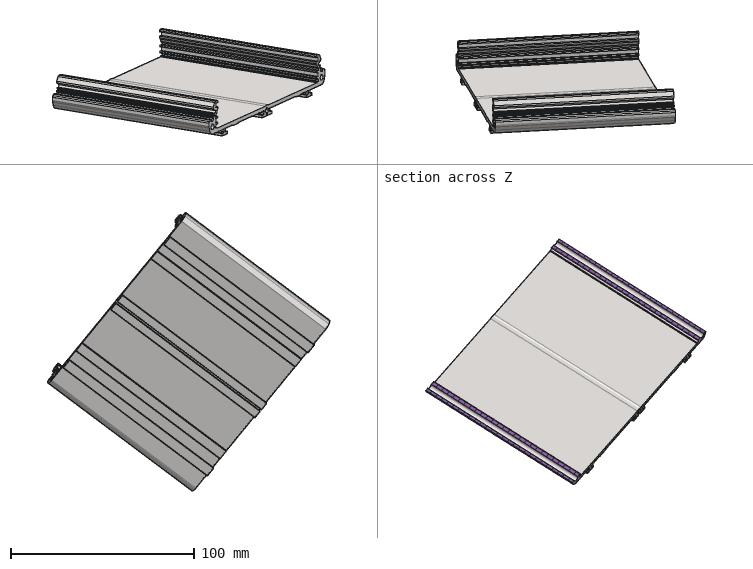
import cadquery as cq

LENGTH = 100.0
WIDTH = 122.6
HALF_WIDTH = WIDTH / 2
HEIGHT = 21.5

FLOOR_BOTTOM = 3.5
FLOOR_THICKNESS = 2.3
FLOOR_TOP = FLOOR_BOTTOM + FLOOR_THICKNESS
FLOOR_HALF_WIDTH = 57.6

WALL_Y = 53.8
TIP_Y = 51.8
RELIEF_Y = 54.5

SCREW_Y = 57.6
SCREW_Z = 7.7
SCREW_DIAMETER = 3.0
BOSS_TOP = 12.1
BOSS_INNER_Y = 58.5
VALLEY_Z = 10.9
VALLEY_Y = 57.6

RIB_THICKNESS = 1.0
RIB_POINT = 0.7
UPPER_RIB_Z = 12.0
LOWER_RIB_Z = 8.6
LOWER_RIB_ROOT_Y = 53.3
LOWER_RELIEF_TOP = 7.0

STEP_HEIGHT = 0.4
STEP_Y = 53.1

LIP_OUTER_Y = 56.8
LIP_CHAMFER = 0.6
GROOVE_BOTTOM = 17.7
GROOVE_TOP = 20.2
LIP_UNDERSIDE = 16.8

RAIL_Y = 44.6
RAIL_HEAD_WIDTH = 5.6
RAIL_HEAD_HEIGHT = 1.4
RAIL_NECK_WIDTH = 1.7
RAIL_FLARE = 0.6

PAD_INNER = 30.3
PAD_OUTER = 36.3
PAD_DEPTH = 0.4

CENTRE_HEAD_WIDTH = 10.4
CENTRE_NECK_WIDTH = 6.0
SNAP_RADIUS = 1.6
SNAP_Z = 2.8
SLOT_WIDTH = 1.2
SLOT_TOP = 1.6

RIDGE_WIDTH = 3.2
RIDGE_HEIGHT = 0.3


def section(y, z):
    """Start a cross-section at (y, z) in the YZ plane at the -X end of the part."""
    return cq.Workplane("YZ", origin=(-LENGTH / 2, 0, 0)).moveTo(y, z)


def extrude(outline):
    """Close a cross-section and run it along the whole length."""
    return outline.close().extrude(LENGTH)


def bar(y_min, y_max, z_min, z_max):
    """A rectangular bar running the whole length."""
    return extrude(section(y_min, z_min).lineTo(y_max, z_min).lineTo(y_max, z_max).lineTo(y_min, z_max))


def lower_corner(outline):
    """From the floor's underside, around the curved corner and over the bevelled screw boss."""
    return (
        outline.lineTo(FLOOR_HALF_WIDTH, FLOOR_BOTTOM)
        .threePointArc((59.4, 4.25), (60.5, 5.9))
        .lineTo(61.1, 7.9)
        .threePointArc((61.25, 8.35), (HALF_WIDTH, 8.8))
        .lineTo(HALF_WIDTH, 10.7)
        .lineTo(60.9, 11.5)
        .lineTo(60.0, BOSS_TOP)
        .lineTo(BOSS_INNER_Y, BOSS_TOP)
        .lineTo(BOSS_INNER_Y, VALLEY_Z)
        .lineTo(VALLEY_Y, VALLEY_Z)
    )


def serrations(outline):
    """Two small teeth climbing the outer face, up to the neck below the lip."""
    return (
        outline.lineTo(56.5, 12.2)
        .lineTo(57.2, 12.9)
        .lineTo(57.2, 13.4)
        .lineTo(55.9, 13.4)
        .lineTo(55.5, 13.8)
        .lineTo(56.2, 14.5)
        .lineTo(56.2, 14.9)
        .lineTo(55.1, 14.9)
        .lineTo(54.3, 16.1)
    )


def clip_lip(outline):
    """The bevelled lip, its inward-facing groove and the sloping underside."""
    return (
        outline.lineTo(LIP_OUTER_Y, GROOVE_BOTTOM)
        .lineTo(LIP_OUTER_Y, 18.7)
        .lineTo(55.4, 21.0)
        .lineTo(54.3, HEIGHT)
        .lineTo(TIP_Y + LIP_CHAMFER, HEIGHT)
        .lineTo(TIP_Y, HEIGHT - LIP_CHAMFER)
        .lineTo(TIP_Y, GROOVE_TOP)
        .lineTo(WALL_Y, GROOVE_TOP)
        .lineTo(WALL_Y, GROOVE_BOTTOM)
        .lineTo(TIP_Y, GROOVE_BOTTOM)
        .lineTo(TIP_Y, LIP_UNDERSIDE)
        .lineTo(52.8, 15.8)
        .lineTo(53.2, 14.4)
        .lineTo(RELIEF_Y, 13.3)
    )


def guide_rib(outline, rib_z):
    """The pointed end of one guide rib, from its upper to its lower face."""
    return (
        outline.lineTo(TIP_Y + RIB_POINT, rib_z + RIB_THICKNESS / 2)
        .lineTo(TIP_Y, rib_z)
        .lineTo(TIP_Y + RIB_POINT, rib_z - RIB_THICKNESS / 2)
    )


def side_wall():
    """The +Y wall, with the screw bore through its boss."""
    outline = lower_corner(section(TIP_Y, FLOOR_BOTTOM))
    outline = clip_lip(serrations(outline))
    outline = outline.lineTo(RELIEF_Y, UPPER_RIB_Z + RIB_THICKNESS / 2)
    outline = guide_rib(outline, UPPER_RIB_Z).lineTo(WALL_Y, UPPER_RIB_Z - RIB_THICKNESS / 2)
    outline = outline.lineTo(WALL_Y, LOWER_RIB_Z + RIB_THICKNESS / 2)
    outline = guide_rib(outline, LOWER_RIB_Z).lineTo(LOWER_RIB_ROOT_Y, LOWER_RIB_Z - RIB_THICKNESS / 2)
    step_top = FLOOR_TOP + STEP_HEIGHT
    outline = outline.lineTo(RELIEF_Y, LOWER_RELIEF_TOP).lineTo(RELIEF_Y, step_top).lineTo(STEP_Y, step_top)
    outline = outline.lineTo(STEP_Y - STEP_HEIGHT, FLOOR_TOP).lineTo(TIP_Y, FLOOR_TOP)
    bore = section(SCREW_Y, SCREW_Z).circle(SCREW_DIAMETER / 2).extrude(LENGTH)
    return extrude(outline).cut(bore)


def t_rail(y, head_width, neck_width):
    """A T-shaped rail hanging from the floor, its neck flared where it meets the head."""
    half_neck = neck_width / 2
    flare_half_width = half_neck + RAIL_FLARE
    flare_top = RAIL_HEAD_HEIGHT + RAIL_FLARE
    head = bar(y - head_width / 2, y + head_width / 2, 0, RAIL_HEAD_HEIGHT)
    neck = (
        section(y - flare_half_width, RAIL_HEAD_HEIGHT)
        .lineTo(y + flare_half_width, RAIL_HEAD_HEIGHT)
        .lineTo(y + half_neck, flare_top)
        .lineTo(y + half_neck, FLOOR_BOTTOM)
        .lineTo(y - half_neck, FLOOR_BOTTOM)
        .lineTo(y - half_neck, flare_top)
    )
    return head.union(extrude(neck))


def pad():
    """A shallow raised strip with sloping sides on the underside of the floor."""
    pad_bottom = FLOOR_BOTTOM - PAD_DEPTH
    outline = (
        section(PAD_INNER, FLOOR_BOTTOM)
        .lineTo(PAD_INNER + PAD_DEPTH, pad_bottom)
        .lineTo(PAD_OUTER - PAD_DEPTH, pad_bottom)
        .lineTo(PAD_OUTER, FLOOR_BOTTOM)
    )
    return extrude(outline)


def snap_groove():
    """Round-topped groove that narrows to a slot through the centre rail."""
    half_slot = SLOT_WIDTH / 2
    outline = (
        section(-SNAP_RADIUS, SNAP_Z)
        .threePointArc((0, SNAP_Z + SNAP_RADIUS), (SNAP_RADIUS, SNAP_Z))
        .lineTo(half_slot, SLOT_TOP)
        .lineTo(half_slot, 0)
        .lineTo(-half_slot, 0)
        .lineTo(-half_slot, SLOT_TOP)
    )
    return extrude(outline)


def ridge():
    """The low rounded ridge on top of the floor."""
    outline = section(-RIDGE_WIDTH / 2, FLOOR_TOP).threePointArc(
        (0, FLOOR_TOP + RIDGE_HEIGHT), (RIDGE_WIDTH / 2, FLOOR_TOP)
    )
    return extrude(outline)


tray = bar(-TIP_Y, TIP_Y, FLOOR_BOTTOM, FLOOR_TOP).union(ridge())
for feature in (side_wall(), t_rail(RAIL_Y, RAIL_HEAD_WIDTH, RAIL_NECK_WIDTH), pad()):
    tray = tray.union(feature).union(feature.mirror("XZ"))

tray = tray.union(t_rail(0, CENTRE_HEAD_WIDTH, CENTRE_NECK_WIDTH))
result = tray.cut(snap_groove())